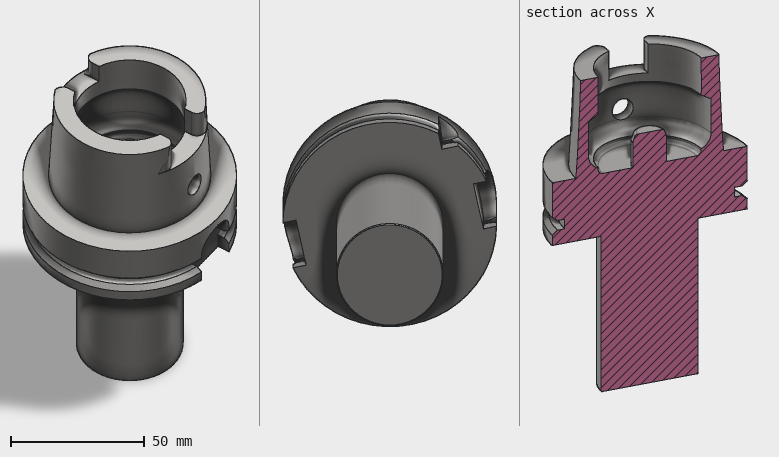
import cadquery as cq
import math


TAPER_HEIGHT = 39.9
TAPER_BASE_RADIUS = 30.35
TAPER_TOP_RADIUS = 28.45

FLANGE_RADIUS = 39.97
FLANGE_HEIGHT = 26.0
GROOVE_RADIUS = 34.9
GROOVE_CENTRE_DEPTH = 18.0
GROOVE_WIDTH = 3.75
GROOVE_BEVEL_HEIGHT = 1.75
GROOVE_BEVEL_WIDTH = 2.1

SHANK_RADIUS = 20.0
SHANK_LENGTH = 64.0
SHANK_CHAMFER = 0.4

BORE_RADIUS = 42.05 / 2
UNDERCUT_RADIUS = 50.08 / 2
UNDERCUT_TOP = 24.5
UNDERCUT_ROUND_TOP = 8.2
UNDERCUT_ROUND_RADIUS = 6.0
CLAMP_ANGLE = 60.0
BORE_FLOOR = 0.0
BORE_FLOOR_FILLET = 1.75

POST_RADIUS = 7.0
POST_TOP = 13.5
POST_CONE_START = 10.4
POST_CONE_ANGLE = 20.0
POST_RIM_FILLET = 1.3

CROSS_HOLE_DIAMETER = 8.5
CROSS_HOLE_HEIGHT = 12.1

NOTCH_WIDTH = 16.0
NOTCH_DEPTH_PLUS_X = 12.0
NOTCH_DEPTH_MINUS_X = 8.0
NOTCH_CORNER_RADIUS = 3.5
NOTCH_BLEND_RADIUS = 28.83
NOTCH_FLARE_RADIUS = 1.5
NOTCH_RUNOUT = 8.0

KEY_WIDTH = 18.0
KEY_ARCH_DEPTH = 4.0
KEY_FLOOR = 33.9
POCKET_FLOOR = 25.2
POCKET_OFFSET = 33.7

CLEARANCE = 5.0


def make_body():
    bevel_radius = FLANGE_RADIUS - GROOVE_BEVEL_WIDTH
    groove_top = -GROOVE_CENTRE_DEPTH + GROOVE_WIDTH / 2
    groove_bottom = -GROOVE_CENTRE_DEPTH - GROOVE_WIDTH / 2
    shank_end = -FLANGE_HEIGHT - SHANK_LENGTH
    profile = [
        (0, TAPER_HEIGHT),
        (TAPER_TOP_RADIUS, TAPER_HEIGHT),
        (TAPER_BASE_RADIUS, 0),
        (FLANGE_RADIUS, 0),
        (FLANGE_RADIUS, groove_top + GROOVE_BEVEL_HEIGHT),
        (bevel_radius, groove_top),
        (GROOVE_RADIUS, groove_top),
        (GROOVE_RADIUS, groove_bottom),
        (bevel_radius, groove_bottom),
        (FLANGE_RADIUS, groove_bottom - GROOVE_BEVEL_HEIGHT),
        (FLANGE_RADIUS, -FLANGE_HEIGHT),
        (SHANK_RADIUS, -FLANGE_HEIGHT),
        (SHANK_RADIUS, shank_end + SHANK_CHAMFER),
        (SHANK_RADIUS - SHANK_CHAMFER, shank_end),
        (0, shank_end),
    ]
    return cq.Workplane("XZ").polyline(profile).close().revolve(360, (0, 0), (0, 1))


def make_bore():
    undercut_depth = UNDERCUT_RADIUS - BORE_RADIUS
    clamp_cone_height = undercut_depth / math.tan(math.radians(CLAMP_ANGLE))
    round_angle = math.acos(1 - undercut_depth / UNDERCUT_ROUND_RADIUS)

    def on_round(angle):
        return (
            UNDERCUT_RADIUS - UNDERCUT_ROUND_RADIUS * (1 - math.cos(angle)),
            UNDERCUT_ROUND_TOP - UNDERCUT_ROUND_RADIUS * math.sin(angle),
        )

    fillet_edge = BORE_RADIUS - BORE_FLOOR_FILLET
    fillet_top = BORE_FLOOR + BORE_FLOOR_FILLET
    fillet_shift = BORE_FLOOR_FILLET * math.sqrt(0.5)
    return (
        cq.Workplane("XZ")
        .moveTo(0, TAPER_HEIGHT)
        .lineTo(BORE_RADIUS, TAPER_HEIGHT)
        .lineTo(BORE_RADIUS, UNDERCUT_TOP)
        .lineTo(UNDERCUT_RADIUS, UNDERCUT_TOP - clamp_cone_height)
        .lineTo(UNDERCUT_RADIUS, UNDERCUT_ROUND_TOP)
        .threePointArc(on_round(round_angle / 2), on_round(round_angle))
        .lineTo(BORE_RADIUS, fillet_top)
        .threePointArc((fillet_edge + fillet_shift, fillet_top - fillet_shift), (fillet_edge, BORE_FLOOR))
        .lineTo(0, BORE_FLOOR)
        .close()
        .revolve(360, (0, 0), (0, 1))
    )


def make_post():
    foot = BORE_FLOOR - CLEARANCE
    cone_inset = (POST_TOP - POST_CONE_START) * math.tan(math.radians(POST_CONE_ANGLE))
    profile = [
        (0, foot),
        (POST_RADIUS, foot),
        (POST_RADIUS, POST_CONE_START),
        (POST_RADIUS - cone_inset, POST_TOP),
        (0, POST_TOP),
    ]
    post = cq.Workplane("XZ").polyline(profile).close().revolve(360, (0, 0), (0, 1))
    return post.faces(">Z").edges().fillet(POST_RIM_FILLET)


def make_cross_holes():
    return (
        cq.Workplane("YZ")
        .center(0, CROSS_HOLE_HEIGHT)
        .circle(CROSS_HOLE_DIAMETER / 2)
        .extrude(TAPER_BASE_RADIUS + CLEARANCE, both=True)
    )


def make_notch(depth, flared):
    """Notch on the +X side: a flat slot whose outer corners round into the blend circle."""
    half_width = NOTCH_WIDTH / 2
    floor = TAPER_HEIGHT - depth
    centre_y = half_width + NOTCH_CORNER_RADIUS
    centre_x = math.sqrt((NOTCH_BLEND_RADIUS - NOTCH_CORNER_RADIUS) ** 2 - centre_y**2)
    end_angle = math.atan2(centre_y, centre_x)
    middle_angle = (end_angle - math.pi / 2) / 2

    def on_corner(angle):
        return (
            centre_x + NOTCH_CORNER_RADIUS * math.cos(angle),
            centre_y + NOTCH_CORNER_RADIUS * math.sin(angle),
        )

    tangent_x, tangent_y = on_corner(end_angle)
    runout_x = tangent_x - NOTCH_RUNOUT * math.sin(end_angle)
    runout_y = tangent_y + NOTCH_RUNOUT * math.cos(end_angle)
    outside_x = TAPER_BASE_RADIUS + CLEARANCE
    corner = (
        cq.Workplane("XY", origin=(0, 0, floor))
        .moveTo(centre_x, half_width)
        .threePointArc(on_corner(middle_angle), (tangent_x, tangent_y))
        .lineTo(runout_x, runout_y)
        .lineTo(outside_x, runout_y)
        .lineTo(outside_x, half_width)
        .close()
        .extrude(depth)
    )
    if flared:
        corner = corner.cut(make_flare(centre_x, centre_y, floor))
    slot = cq.Workplane("XY", origin=(0, 0, floor)).rect(outside_x, NOTCH_WIDTH).extrude(depth)
    slot = slot.translate((outside_x / 2, 0, 0))
    return slot.union(corner).union(corner.mirror("XZ"))


def make_flare(centre_x, centre_y, floor):
    """Material that flares a rounded notch corner out into the notch floor."""
    foot = NOTCH_CORNER_RADIUS + NOTCH_FLARE_RADIUS
    sag = NOTCH_FLARE_RADIUS * (1 - math.sqrt(0.5))
    return (
        cq.Workplane("XZ")
        .lineTo(foot, 0)
        .threePointArc((NOTCH_CORNER_RADIUS + sag, sag), (NOTCH_CORNER_RADIUS, NOTCH_FLARE_RADIUS))
        .lineTo(0, NOTCH_FLARE_RADIUS)
        .close()
        .revolve(360, (0, 0), (0, 1))
        .translate((centre_x, centre_y, floor))
    )


def make_arched_cut(centre_y, floor_x):
    """Arch-topped cut on the -X side, open outward and downward."""
    radius = KEY_WIDTH / 2
    arch_centre = -KEY_ARCH_DEPTH - radius
    return (
        cq.Workplane("YZ", origin=(-floor_x, centre_y, 0))
        .moveTo(-radius, -FLANGE_HEIGHT)
        .lineTo(-radius, arch_centre)
        .threePointArc((0, -KEY_ARCH_DEPTH), (radius, arch_centre))
        .lineTo(radius, -FLANGE_HEIGHT)
        .close()
        .extrude(floor_x - FLANGE_RADIUS - CLEARANCE)
    )


def half_turn(shape):
    return shape.rotate((0, 0, 0), (0, 0, 1), 180)


key_slot = make_arched_cut(0, KEY_FLOOR)

result = make_body().cut(make_bore()).union(make_post())
result = result.cut(make_cross_holes().cut(make_post()))
result = result.cut(make_notch(NOTCH_DEPTH_PLUS_X, flared=False))
result = result.cut(half_turn(make_notch(NOTCH_DEPTH_MINUS_X, flared=True)))
result = result.cut(key_slot).cut(half_turn(key_slot))
result = result.cut(make_arched_cut(POCKET_OFFSET, POCKET_FLOOR))